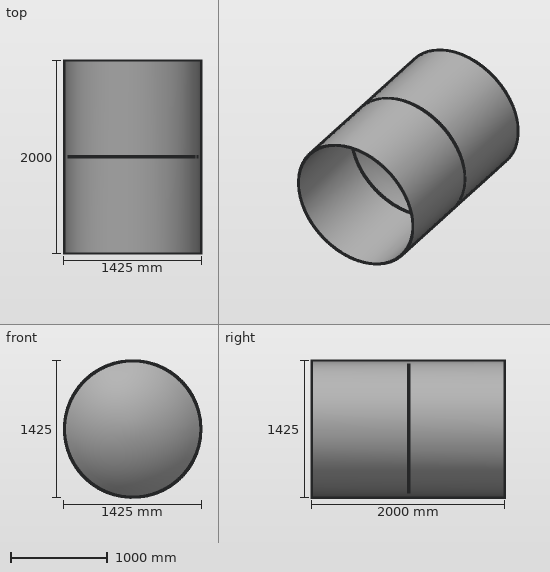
import cadquery as cq
import math

length = 2000.0
outer_diameter = 1425.0
wall = 10.0
bulkhead_thickness = 10.0
bulkhead_radius = 960.0
rim_y = -5.0

bore_radius = outer_diameter / 2 - wall
weld_radius = bore_radius + wall / 2


def make_tube():
    return (
        cq.Workplane("XZ", origin=(0, length / 2, 0))
        .circle(outer_diameter / 2)
        .circle(bore_radius)
        .extrude(length)
    )


def make_bulkhead():
    center_y = rim_y + math.sqrt(bulkhead_radius**2 - bore_radius**2)
    inner_radius = bulkhead_radius - bulkhead_thickness

    def point_on_arc(arc_radius, x):
        return (x, center_y - math.sqrt(arc_radius**2 - x**2))

    middle = weld_radius / 2
    profile = (
        cq.Workplane("XY")
        .moveTo(*point_on_arc(bulkhead_radius, 0))
        .threePointArc(point_on_arc(bulkhead_radius, middle), point_on_arc(bulkhead_radius, weld_radius))
        .lineTo(*point_on_arc(inner_radius, weld_radius))
        .threePointArc(point_on_arc(inner_radius, middle), point_on_arc(inner_radius, 0))
        .close()
    )
    return profile.revolve(360, (0, 0, 0), (0, 1, 0))


result = make_tube().union(make_bulkhead())